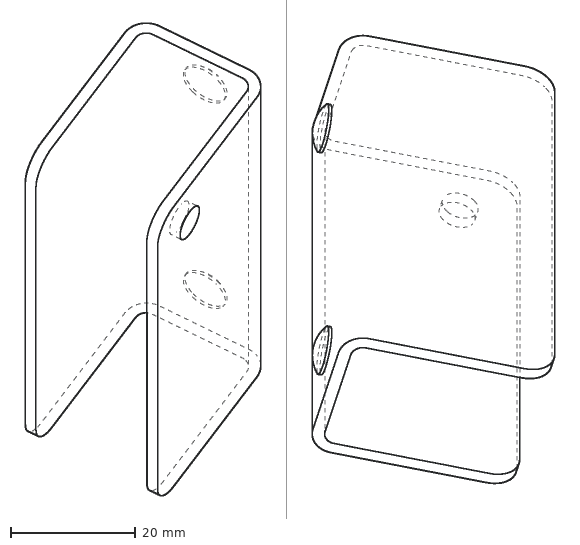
import cadquery as cq
import math

channel_width = 25.0
channel_depth = 34.95
channel_height = 75.0
sheet_thickness = 2.0
inner_bend_radius = sheet_thickness
outer_bend_radius = inner_bend_radius + sheet_thickness
flange_corner_radius = 5.0

hole_diameter = 6.0
hole_edge_distance = 10.0

overall_depth = 37.0
head_diameter = 7.95
head_height = overall_depth - channel_depth
head_rim_height = 0.5
head_end_distance = 10.0


def bent_block(width, depth, bend_radius):
    """Full-height block from the front plane y = 0, with its two back vertical edges rounded."""
    block = cq.Workplane("XY").box(width, depth, channel_height, centered=(True, False, False))
    return block.edges("|Z and >Y").fillet(bend_radius)


def make_channel():
    outside = bent_block(channel_width, channel_depth, outer_bend_radius)
    inside = bent_block(
        channel_width - 2 * sheet_thickness,
        channel_depth - sheet_thickness,
        inner_bend_radius,
    )
    channel = outside.cut(inside)

    channel = channel.faces("<Y").edges("|X").edges("<Z or >Z").fillet(flange_corner_radius)

    flange_hole = (
        cq.Workplane("YZ")
        .center(hole_edge_distance, channel_height - hole_edge_distance)
        .circle(hole_diameter / 2)
        .extrude(channel_width / 2)
    )
    return channel.cut(flange_hole)


def make_rivet_head(z):
    """Short cylindrical rim topped by a spherical dome, resting on the back plate at height z."""
    radius = head_diameter / 2
    dome_height = head_height - head_rim_height
    sphere_radius = (radius**2 + dome_height**2) / (2 * dome_height)
    half_radius = radius / 2
    arc_middle_height = head_height - sphere_radius + math.sqrt(sphere_radius**2 - half_radius**2)

    return (
        cq.Workplane("XY", origin=(0, channel_depth, z))
        .lineTo(radius, 0)
        .lineTo(radius, head_rim_height)
        .threePointArc((half_radius, arc_middle_height), (0, head_height))
        .close()
        .revolve(360, (0, 0), (0, 1))
    )


channel = make_channel()
rivet_heads = [
    make_rivet_head(z)
    for z in (head_end_distance, channel_height - head_end_distance)
]

result = cq.Compound.makeCompound([channel.val(), *[head.val() for head in rivet_heads]])